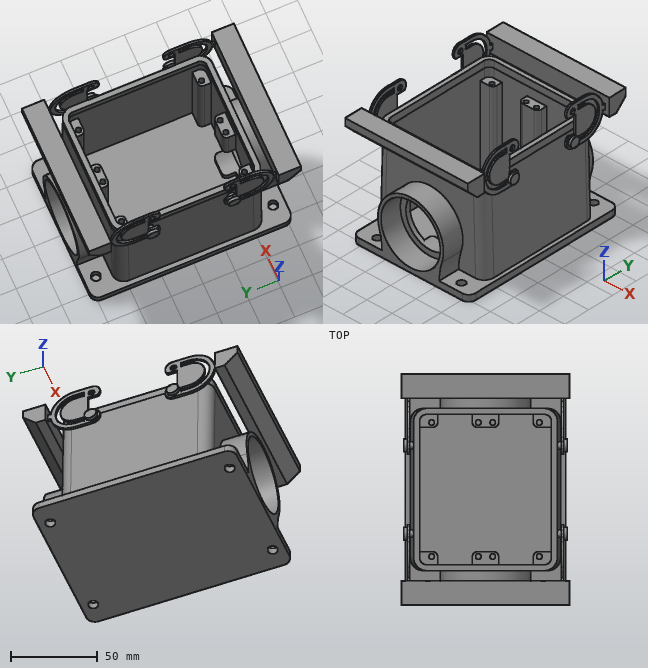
import cadquery as cq
import math

BASE_WIDTH = 92.5
BASE_LENGTH = 126.0
BASE_HEIGHT = 5.0
BASE_CORNER_RADIUS = 5.5
MOUNT_HOLE_X = 33.2
MOUNT_HOLE_Y = 55.6
MOUNT_HOLE_DIAMETER = 5.9

CAVITY_WIDTH = 75.8
CAVITY_LENGTH = 86.5
CAVITY_CORNER_RADIUS = 4.0
WALL = 3.5
BOX_TOP_WIDTH = CAVITY_WIDTH + 2 * WALL
BOX_FOOT_WIDTH = 86.5
BOX_LENGTH = CAVITY_LENGTH + 2 * WALL
BOX_CORNER_RADIUS = CAVITY_CORNER_RADIUS + WALL
BOX_TOP = 73.7

RIM_HEIGHT = 5.3

PORT_AXIS_Z = 27.0
PORT_RADIUS = 26.0
PORT_FOOT_HALF_WIDTH = 22.6
PORT_RECESS_RADIUS = 23.4
PORT_BORE_RADIUS = 19.0

POST_TOP = 66.6
POST_DEPTH = 7.5
POST_EDGE_RADIUS = 2.9
CORNER_POST_WIDTH = 10.4
MIDDLE_POST_WIDTH = 15.2
SCREW_HOLE_DIAMETER = 3.2
SCREW_HOLE_DEPTH = 10.0
SCREW_HOLE_Y = 38.6
CORNER_SCREW_X = 31.0
MIDDLE_SCREW_X = 4.1

PLATE_INNER_X = 43.6
PLATE_THICKNESS = 1.5
PLATE_OUTER_X = PLATE_INNER_X + PLATE_THICKNESS
PLATE_Y = 35.2
PLATE_Z = 79.4
PLATE_RADIUS = 15.5
PLATE_EDGE_Y = 27.7
SLOT_OUTER_RADIUS = 12.5
SLOT_INNER_RADIUS = 9.5
SLOT_END_Y = 30.0
HOOK_Y = 25.4
HOOK_RADIUS = 5.2
HOOK_OFFSET_Z = PLATE_RADIUS - HOOK_RADIUS
HOOK_LIP_DROP = 3.5
HOOK_HOLE_RADIUS = 1.9
PIN_RADIUS = 2.1
HEAD_RADIUS = 3.7
HEAD_THICKNESS = 2.0
NECK_HEIGHT = 4.0

BAR_WIDTH = 97.0
BAR_OUTER_Y = 66.5
BAR_DEPTH = 14.0
BAR_HEIGHT = 13.5
BAR_BOTTOM = BOX_TOP
BAR_CHAMFER = 8.0


def rounded_block(width, length, height, radius, bottom):
    """Upright block with rounded vertical edges."""
    block = cq.Workplane("XY").box(width, length, height, centered=(True, True, False))
    return block.edges("|Z").fillet(radius).translate((0, 0, bottom))


def mirrored_pair(shape, plane):
    """A shape together with its mirror image."""
    return shape.union(shape.mirror(plane))


def make_base():
    base = rounded_block(BASE_WIDTH, BASE_LENGTH, BASE_HEIGHT, BASE_CORNER_RADIUS, 0)
    return (
        base.faces(">Z").workplane(origin=(0, 0, BASE_HEIGHT))
        .rect(2 * MOUNT_HOLE_X, 2 * MOUNT_HOLE_Y, forConstruction=True)
        .vertices().hole(MOUNT_HOLE_DIAMETER)
    )


def make_box():
    """Solid box whose side walls lean inward toward the top while its end walls are upright."""
    foot = cq.Sketch().rect(BOX_FOOT_WIDTH, BOX_LENGTH).vertices().fillet(BOX_CORNER_RADIUS)
    top = cq.Sketch().rect(BOX_TOP_WIDTH, BOX_LENGTH).vertices().fillet(BOX_CORNER_RADIUS)
    top_location = cq.Location(cq.Vector(0, 0, BOX_TOP - BASE_HEIGHT))
    return (
        cq.Workplane("XY", origin=(0, 0, BASE_HEIGHT))
        .placeSketch(foot, top.moved(top_location)).loft(ruled=True)
    )


def make_port():
    """Port boss on the -Y wall; its sides flare from the circle into an upright foot."""
    rise = PORT_AXIS_Z - BASE_HEIGHT
    flare_radius = (PORT_FOOT_HALF_WIDTH**2 + rise**2 - PORT_RADIUS**2) / (
        2 * (PORT_RADIUS - PORT_FOOT_HALF_WIDTH)
    )
    flare_x = PORT_FOOT_HALF_WIDTH + flare_radius
    tangent_share = PORT_RADIUS / (PORT_RADIUS + flare_radius)
    tangent_x = flare_x * tangent_share
    tangent_z = PORT_AXIS_Z - rise * tangent_share
    half_turn = math.asin((tangent_z - BASE_HEIGHT) / flare_radius) / 2
    mid_x = flare_x - flare_radius * math.cos(half_turn)
    mid_z = BASE_HEIGHT + flare_radius * math.sin(half_turn)
    return (
        cq.Workplane("XZ", origin=(0, -CAVITY_LENGTH / 2, 0))
        .moveTo(-PORT_FOOT_HALF_WIDTH, 0)
        .lineTo(-PORT_FOOT_HALF_WIDTH, BASE_HEIGHT)
        .threePointArc((-mid_x, mid_z), (-tangent_x, tangent_z))
        .threePointArc((0, PORT_AXIS_Z + PORT_RADIUS), (tangent_x, tangent_z))
        .threePointArc((mid_x, mid_z), (PORT_FOOT_HALF_WIDTH, BASE_HEIGHT))
        .lineTo(PORT_FOOT_HALF_WIDTH, 0)
        .close()
        .extrude((BASE_LENGTH - CAVITY_LENGTH) / 2)
    )


def make_port_recess():
    """Wide bore of the -Y port, from its mouth to the box wall."""
    return (
        cq.Workplane("XZ", origin=(0, -BOX_LENGTH / 2, PORT_AXIS_Z))
        .circle(PORT_RECESS_RADIUS).extrude((BASE_LENGTH - BOX_LENGTH) / 2)
    )


def make_port_bore():
    """Narrow bore of the -Y port, through the wall and the middle post behind it."""
    return (
        cq.Workplane("XZ", origin=(0, POST_DEPTH - CAVITY_LENGTH / 2, PORT_AXIS_Z))
        .circle(PORT_BORE_RADIUS).extrude(WALL + POST_DEPTH)
    )


def make_cavity():
    height = BOX_TOP + RIM_HEIGHT - BASE_HEIGHT
    return rounded_block(CAVITY_WIDTH, CAVITY_LENGTH, height, CAVITY_CORNER_RADIUS, BASE_HEIGHT)


def make_posts():
    """Screw posts along the +Y wall, trimmed to the rounded corners of the cavity."""
    height = POST_TOP - BASE_HEIGHT
    middle = (
        cq.Workplane("XY").box(MIDDLE_POST_WIDTH, POST_DEPTH, height, centered=(True, False, False))
        .edges("|Z and <Y").fillet(POST_EDGE_RADIUS)
    )
    corner = (
        cq.Workplane("XY").box(CORNER_POST_WIDTH, POST_DEPTH, height, centered=False)
        .edges("|Z and <X and <Y").fillet(POST_EDGE_RADIUS)
        .translate((CAVITY_WIDTH / 2 - CORNER_POST_WIDTH, 0, 0))
    )
    posts = middle.union(mirrored_pair(corner, "YZ"))
    posts = posts.translate((0, CAVITY_LENGTH / 2 - POST_DEPTH, BASE_HEIGHT)).intersect(make_cavity())
    holes = (
        cq.Workplane("XY", origin=(0, SCREW_HOLE_Y, POST_TOP))
        .pushPoints([(x, 0) for x in (-CORNER_SCREW_X, -MIDDLE_SCREW_X, MIDDLE_SCREW_X, CORNER_SCREW_X)])
        .circle(SCREW_HOLE_DIAMETER / 2).extrude(-SCREW_HOLE_DEPTH)
    )
    return posts.cut(holes)


def half_disc_plate(radius, end_y):
    """Flat D shape: half disc toward +Y with straight sides running back to end_y."""
    return (
        cq.Workplane("YZ", origin=(PLATE_INNER_X, 0, 0))
        .moveTo(end_y, PLATE_Z - radius)
        .lineTo(PLATE_Y, PLATE_Z - radius)
        .threePointArc((PLATE_Y + radius, PLATE_Z), (PLATE_Y, PLATE_Z + radius))
        .lineTo(end_y, PLATE_Z + radius)
        .close()
        .extrude(PLATE_THICKNESS)
    )


def disc(radius, z, start_x, end_x):
    """Disc about the hook axis at height z, between two X positions."""
    return (
        cq.Workplane("YZ", origin=(start_x, HOOK_Y, z))
        .circle(radius).extrude(end_x - start_x)
    )


def make_plate():
    """Lever side plate at +X: slotted D shape with an upper and a lower hook."""
    upper_z = PLATE_Z + HOOK_OFFSET_Z
    lower_z = PLATE_Z - HOOK_OFFSET_Z
    plate = half_disc_plate(PLATE_RADIUS, HOOK_Y)
    for z in (upper_z, lower_z):
        plate = plate.union(disc(HOOK_RADIUS, z, PLATE_INNER_X, PLATE_OUTER_X))
    gap_height = 2 * (HOOK_OFFSET_Z - HOOK_LIP_DROP)
    gap_depth = PLATE_EDGE_Y - (HOOK_Y - HOOK_RADIUS)
    gap = (
        cq.Workplane("XY").box(PLATE_THICKNESS, gap_depth, gap_height)
        .translate((PLATE_INNER_X + PLATE_THICKNESS / 2, PLATE_EDGE_Y - gap_depth / 2, PLATE_Z))
    )
    slot = half_disc_plate(SLOT_OUTER_RADIUS, SLOT_END_Y).cut(
        half_disc_plate(SLOT_INNER_RADIUS, SLOT_END_Y)
    )
    hook_hole = disc(HOOK_HOLE_RADIUS, upper_z, PLATE_INNER_X, PLATE_OUTER_X)
    neck_start = PLATE_Y + (PLATE_RADIUS + SLOT_OUTER_RADIUS) / 2
    neck_length = BAR_OUTER_Y - BAR_DEPTH - neck_start
    neck = (
        cq.Workplane("XY").box(PLATE_THICKNESS, neck_length, NECK_HEIGHT, centered=(False, False, True))
        .translate((PLATE_INNER_X, neck_start, PLATE_Z))
    )
    pin = disc(PIN_RADIUS, lower_z, CAVITY_WIDTH / 2 + WALL / 2, PLATE_INNER_X)
    head = disc(HEAD_RADIUS, lower_z, PLATE_OUTER_X, PLATE_OUTER_X + HEAD_THICKNESS)
    return plate.cut(gap).cut(slot).cut(hook_hole).union(neck).union(pin).union(head)


def make_bar():
    """Grip bar with its lower outer edge cut away."""
    inner_y = BAR_OUTER_Y - BAR_DEPTH
    return (
        cq.Workplane("XY").box(BAR_WIDTH, BAR_DEPTH, BAR_HEIGHT, centered=(True, False, False))
        .edges("|X and >Y and <Z").chamfer(BAR_CHAMFER)
        .translate((0, inner_y, BAR_BOTTOM))
    )


def make_lever():
    return make_bar().union(mirrored_pair(make_plate(), "YZ"))


def make_housing():
    """Housing with its two levers, whose pins are rooted in the side walls."""
    return (
        make_base()
        .union(make_box())
        .union(mirrored_pair(make_port(), "XZ"))
        .cut(make_cavity())
        .union(mirrored_pair(make_posts(), "XZ"))
        .cut(mirrored_pair(make_port_recess(), "XZ"))
        .cut(make_port_bore())
        .union(mirrored_pair(make_lever(), "XZ"))
    )


def make_rim():
    frame = rounded_block(BOX_TOP_WIDTH, BOX_LENGTH, RIM_HEIGHT, BOX_CORNER_RADIUS, BOX_TOP)
    return frame.cut(make_cavity())


housing = make_housing()
rim = make_rim()
result = cq.Compound.makeCompound([housing.val(), rim.val()])